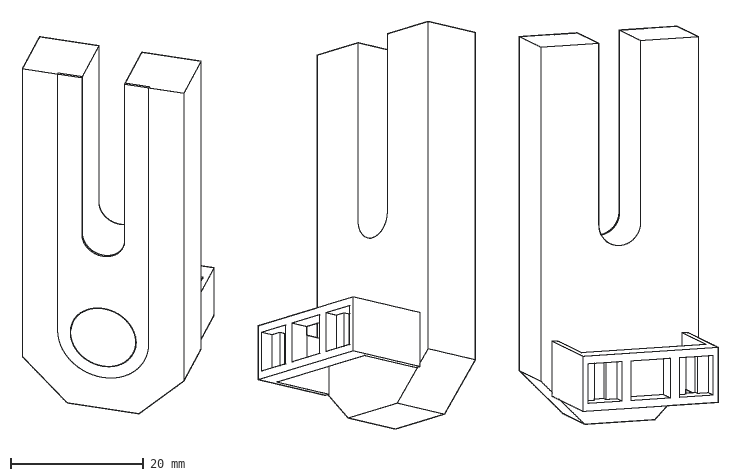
import cadquery as cq


CUT_MARGIN = 0.6

BASE_WIDTH = 25.4
BASE_DEPTH = 9.5
BASE_HEIGHT = 58.4
CORNER_CHAMFER = 7.05

SLOT_WIDTH = 6.7
SLOT_CENTER_Z = 30.5

PAD_WIDTH = 14.3
PAD_THICKNESS = 0.35
BOSS_DIAMETER = 10.2
PAD_HOLE_DIAMETER = 10.35
BOSS_CENTER_Z = 12.7

FRAME_WIDTH = 21.8
FRAME_HEIGHT = 8.5
FRAME_CENTER_Z = 8.9
FRAME_BACK_Y = 23.0
FRAME_LEG_THICKNESS = 0.9
FRAME_WALL_THICKNESS = 3.05

WINDOW_HEIGHT = 6.1
CENTER_WINDOW_WIDTH = 6.3
SIDE_WINDOW_WIDTH = 1.85
SIDE_WINDOW_OFFSET = 7.35
SIDE_POCKET_WIDTH = 5.45
SIDE_WINDOW_DEPTH = 0.95

FRAME_INNER_Y = FRAME_BACK_Y - FRAME_WALL_THICKNESS
POCKET_FLOOR_Y = FRAME_INNER_Y + SIDE_WINDOW_DEPTH


def box(width, height, center_x, center_z, y_start, y_end):
    """Box centred at (center_x, center_z) that spans y_start to y_end."""
    depth = y_end - y_start
    return cq.Workplane("XY").box(width, depth, height).translate(
        (center_x, (y_start + y_end) / 2, center_z)
    )


def cylinder(diameter, center_z, y_start, y_end):
    """Round bar along Y on the middle plane of the part."""
    return (
        cq.Workplane("XZ", origin=(0, y_start, center_z))
        .circle(diameter / 2)
        .extrude(y_start - y_end)
    )


def round_bottomed(width, arc_center_z, top_z, y_start, y_end):
    """Upright strip with a half-round lower end."""
    half_width = width / 2
    return (
        cq.Workplane("XZ", origin=(0, y_start, 0))
        .moveTo(-half_width, top_z)
        .lineTo(-half_width, arc_center_z)
        .threePointArc((0, arc_center_z - half_width), (half_width, arc_center_z))
        .lineTo(half_width, top_z)
        .close()
        .extrude(y_start - y_end)
    )


def make_slot():
    """Cutter for the slot through the full depth of plate and pad."""
    return round_bottomed(
        SLOT_WIDTH, SLOT_CENTER_Z, BASE_HEIGHT + CUT_MARGIN, -CUT_MARGIN, BASE_DEPTH + CUT_MARGIN
    )


def make_plate():
    """Slotted plate with chamfered lower corners, a pad recess and the boss in it."""
    plate = box(BASE_WIDTH, BASE_HEIGHT, 0, BASE_HEIGHT / 2, 0, BASE_DEPTH)
    plate = plate.faces("<Z").edges("|Y").chamfer(CORNER_CHAMFER)
    recess = round_bottomed(
        PAD_WIDTH, BOSS_CENTER_Z, BASE_HEIGHT + CUT_MARGIN, -CUT_MARGIN, PAD_THICKNESS
    )
    boss = cylinder(BOSS_DIAMETER, BOSS_CENTER_Z, 0, PAD_THICKNESS)
    return plate.cut(recess).cut(make_slot()).union(boss)


def make_frame():
    """U-shaped frame with a center window and two side windows in its back wall."""
    frame = box(FRAME_WIDTH, FRAME_HEIGHT, 0, FRAME_CENTER_Z, BASE_DEPTH, FRAME_BACK_Y)
    inside = box(
        FRAME_WIDTH - 2 * FRAME_LEG_THICKNESS,
        FRAME_HEIGHT + 2 * CUT_MARGIN,
        0,
        FRAME_CENTER_Z,
        BASE_DEPTH - CUT_MARGIN,
        FRAME_INNER_Y,
    )
    frame = frame.cut(inside)

    window_start = FRAME_INNER_Y - CUT_MARGIN
    window_end = FRAME_BACK_Y + CUT_MARGIN
    frame = frame.cut(
        box(CENTER_WINDOW_WIDTH, WINDOW_HEIGHT, 0, FRAME_CENTER_Z, window_start, window_end)
    )

    for side in (-1, 1):
        center_x = side * SIDE_WINDOW_OFFSET
        window = box(
            SIDE_WINDOW_WIDTH, WINDOW_HEIGHT, center_x, FRAME_CENTER_Z, window_start, window_end
        )
        pocket = box(
            SIDE_POCKET_WIDTH, WINDOW_HEIGHT, center_x, FRAME_CENTER_Z, POCKET_FLOOR_Y, window_end
        )
        frame = frame.cut(window).cut(pocket)
    return frame


def make_base():
    """Plate and frame as one solid."""
    return make_plate().union(make_frame())


def make_pad():
    """Thin pad filling the front recess, with a clearance hole for the boss."""
    pad = round_bottomed(PAD_WIDTH, BOSS_CENTER_Z, BASE_HEIGHT, 0, PAD_THICKNESS)
    hole = cylinder(PAD_HOLE_DIAMETER, BOSS_CENTER_Z, -CUT_MARGIN, PAD_THICKNESS + CUT_MARGIN)
    return pad.cut(hole).cut(make_slot())


base = make_base()
pad = make_pad()

result = cq.Compound.makeCompound([base.val(), pad.val()])